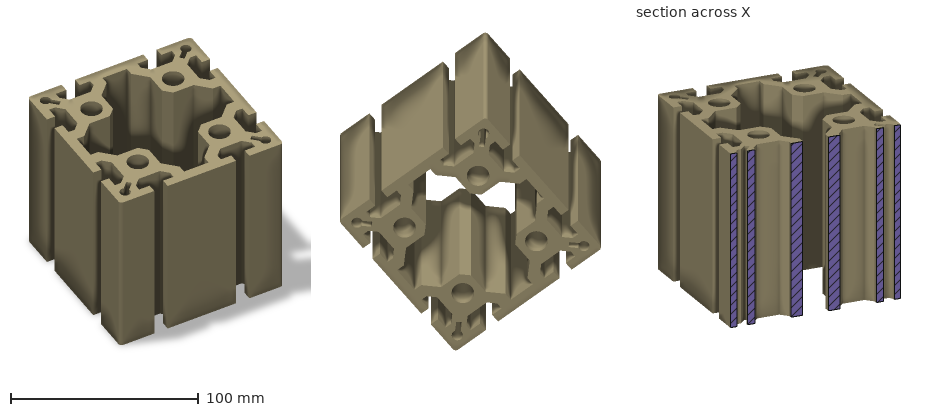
import cadquery as cq
import math

side = 100.0
length = 100.0
half_side = side / 2
corner_radius = 2.0

core_offset = side / 4
bore_diameter = 12.0

slot_opening = 8.2
slot_inner_width = 21.0
slot_floor_width = 13.0
slot_depth = 12.7
lip_thickness = 5.0
slot_bevel = (slot_inner_width - slot_floor_width) / 2

wall_thickness = 6.0
arm_half_width = 7.5
cavity_half_width = 15.0
arm_flare_start = 39.4
arm_flare_end = arm_flare_start - (cavity_half_width - arm_half_width)
core_bevel = 4.4

keyhole_inset = 7.0
keyhole_diameter = 6.0
slit_width = 3.0
slit_length = 8.0
slit_direction = 225


def make_t_slot():
    """T-slot cutter opening on the +Y side, centred on X = 0."""
    mouth_y = half_side
    lip_y = half_side - lip_thickness
    floor_y = half_side - slot_depth
    bevel_y = floor_y + slot_bevel
    return (
        cq.Workplane("XY")
        .moveTo(-slot_opening / 2, mouth_y)
        .lineTo(-slot_opening / 2, lip_y)
        .lineTo(-slot_inner_width / 2, lip_y)
        .lineTo(-slot_inner_width / 2, bevel_y)
        .lineTo(-slot_floor_width / 2, floor_y)
        .lineTo(slot_floor_width / 2, floor_y)
        .lineTo(slot_inner_width / 2, bevel_y)
        .lineTo(slot_inner_width / 2, lip_y)
        .lineTo(slot_opening / 2, lip_y)
        .lineTo(slot_opening / 2, mouth_y)
        .close()
        .extrude(length)
    )


def make_cavity():
    """Cross-shaped cavity: two crossing arms and a diamond that bevels the cores."""
    arm_end = half_side - wall_thickness
    half_arm = (
        cq.Workplane("XY")
        .moveTo(-cavity_half_width, 0)
        .lineTo(-cavity_half_width, arm_flare_end)
        .lineTo(-arm_half_width, arm_flare_start)
        .lineTo(-arm_half_width, arm_end)
        .lineTo(arm_half_width, arm_end)
        .lineTo(arm_half_width, arm_flare_start)
        .lineTo(cavity_half_width, arm_flare_end)
        .lineTo(cavity_half_width, 0)
        .close()
        .extrude(length)
    )
    diamond_side = math.sqrt(2) * (2 * cavity_half_width + core_bevel)
    cavity = (
        cq.Workplane("XY")
        .rect(diamond_side, diamond_side)
        .extrude(length)
        .rotate((0, 0, 0), (0, 0, 1), 45)
    )
    for quarter in range(4):
        cavity = cavity.union(half_arm.rotate((0, 0, 0), (0, 0, 1), 90 * quarter))
    return cavity


def make_keyhole():
    """Keyhole cutter for the +X +Y corner."""
    centre = half_side - keyhole_inset
    hole = cq.Workplane("XY").circle(keyhole_diameter / 2).extrude(length)
    slit = (
        cq.Workplane("XY")
        .rect(slit_length, slit_width)
        .extrude(length)
        .translate((slit_length / 2, 0, 0))
        .rotate((0, 0, 0), (0, 0, 1), slit_direction)
    )
    return hole.union(slit).translate((centre, centre, 0))


def make_bore():
    """Bore cutter for the +X +Y core."""
    return (
        cq.Workplane("XY")
        .center(core_offset, core_offset)
        .circle(bore_diameter / 2)
        .extrude(length)
    )


profile = cq.Workplane("XY").rect(side, side).extrude(length).edges("|Z").fillet(corner_radius)
profile = profile.cut(make_cavity())

t_slot = make_t_slot()
quarter_cutters = [
    t_slot.translate((-core_offset, 0, 0)),
    t_slot.translate((core_offset, 0, 0)),
    make_keyhole(),
    make_bore(),
]
for cutter in quarter_cutters:
    for quarter in range(4):
        profile = profile.cut(cutter.rotate((0, 0, 0), (0, 0, 1), 90 * quarter))

result = profile